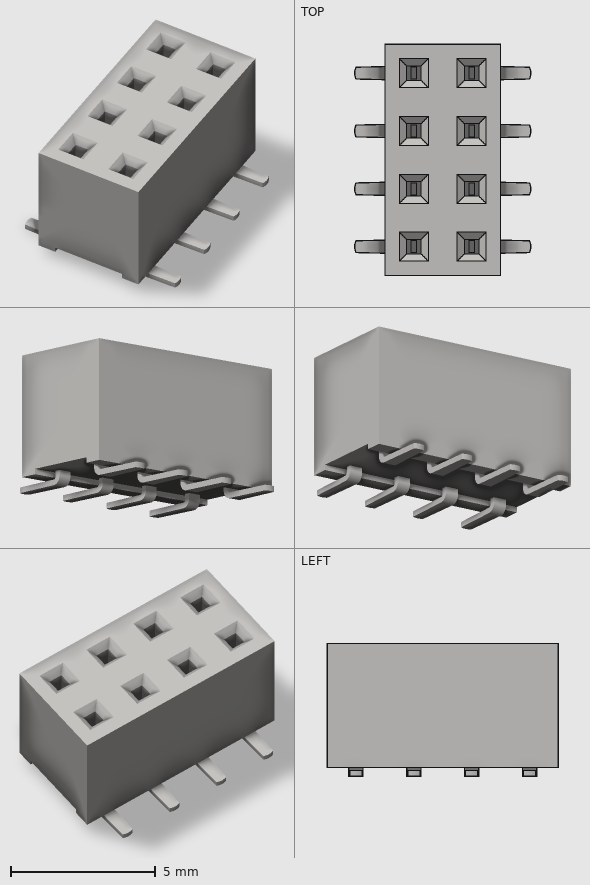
import cadquery as cq

pitch = 2.0
columns = 2
rows = 4

housing_width = columns * pitch
housing_length = rows * pitch
housing_height = 4.3
standoff = 0.3
foot_width = 0.66
foot_height = 0.19
housing_top = standoff + housing_height
seat_z = standoff + foot_height

mouth_size = pitch / 2
hole_size = pitch / 4
funnel_depth = (mouth_size - hole_size) / 2
floor_thickness = 0.8

lead_thickness = 0.2
lead_width = pitch / 4
tip_width = 0.42
tip_bulge = 0.05
tip_reach = 3.05
inner_bend_radius = 0.1
outer_bend_radius = inner_bend_radius + lead_thickness
stub_width = tip_width
stub_height = 0.48

column_positions = [(i - (columns - 1) / 2) * pitch for i in range(columns)]
row_positions = [(i - (rows - 1) / 2) * pitch for i in range(rows)]
floor_z = seat_z + floor_thickness


def make_housing():
    """Rectangular block with a foot along each long side."""
    block = cq.Workplane("XY").box(
        housing_width, housing_length, housing_height, centered=(True, True, False)
    )
    channel = cq.Workplane("XY").box(
        housing_width - 2 * foot_width, housing_length, foot_height, centered=(True, True, False)
    )
    return block.cut(channel).translate((0, 0, standoff))


def make_socket():
    """Tapered square mouth above a square blind hole."""
    funnel = (
        cq.Workplane("XY", origin=(0, 0, housing_top))
        .rect(mouth_size, mouth_size)
        .workplane(offset=-funnel_depth)
        .rect(hole_size, hole_size)
        .loft(ruled=True)
    )
    hole = (
        cq.Workplane("XY", origin=(0, 0, floor_z))
        .rect(hole_size, hole_size)
        .extrude(housing_top - funnel_depth - floor_z)
    )
    return funnel.union(hole)


def make_lead(column_x):
    """Gull-wing lead toward +X: bent strip, tapered rounded foot and a narrow stub in the socket."""
    inner_face = column_x - lead_thickness / 2
    outer_face = column_x + lead_thickness / 2
    bend_end = inner_face + outer_bend_radius
    profile = (
        cq.Workplane("XZ")
        .moveTo(inner_face, floor_z)
        .lineTo(inner_face, outer_bend_radius)
        .radiusArc((bend_end, 0), -outer_bend_radius)
        .lineTo(tip_reach, 0)
        .lineTo(tip_reach, lead_thickness)
        .lineTo(bend_end, lead_thickness)
        .radiusArc((outer_face, outer_bend_radius), inner_bend_radius)
        .lineTo(outer_face, floor_z)
        .close()
        .extrude(lead_width / 2, both=True)
    )
    shoulder = tip_reach - tip_bulge
    outline = (
        cq.Workplane("XY")
        .moveTo(inner_face, -lead_width / 2)
        .lineTo(bend_end, -lead_width / 2)
        .lineTo(shoulder, -tip_width / 2)
        .threePointArc((tip_reach, 0), (shoulder, tip_width / 2))
        .lineTo(bend_end, lead_width / 2)
        .lineTo(inner_face, lead_width / 2)
        .close()
        .extrude(floor_z)
    )
    stub = (
        cq.Workplane("XY", origin=(column_x, 0, floor_z))
        .rect(lead_thickness, stub_width)
        .extrude(stub_height)
    )
    return profile.intersect(outline).union(stub)


socket = make_socket()
right_lead = make_lead(max(column_positions))
left_lead = right_lead.mirror("YZ")

result = make_housing()
for y in row_positions:
    for x in column_positions:
        result = result.cut(socket.translate((x, y, 0)))
    for lead in (left_lead, right_lead):
        result = result.union(lead.translate((0, y, 0)))